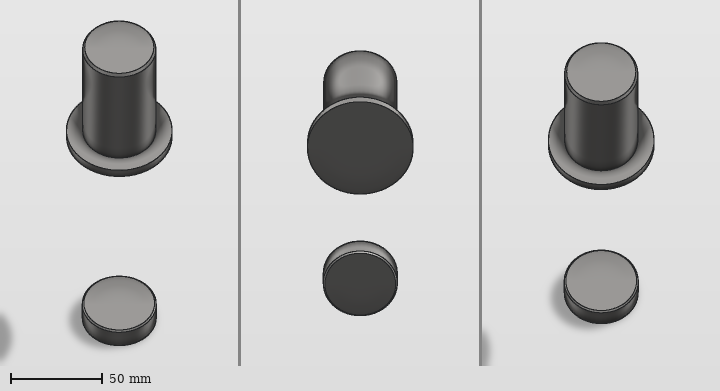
import cadquery as cq

total_height = 228.0

pin_diameter = 40.1
pin_height = 75.0
pin_chamfer_height = 1.8
pin_chamfer_inset = 1.1
flange_diameter = 58.0
flange_thickness = 5.2

plug_diameter = 40.5
plug_height = 13.0
plug_chamfer = 1.0


def make_headed_pin():
    """Round pin standing on a wider flange, with a steep chamfer at its top rim."""
    base_z = total_height - pin_height
    straight_height = pin_height - pin_chamfer_height
    base = cq.Workplane("XY", origin=(0, 0, base_z))
    flange = base.circle(flange_diameter / 2).extrude(flange_thickness)
    shank = base.circle(pin_diameter / 2).extrude(straight_height)
    tip = (
        base.workplane(offset=straight_height)
        .circle(pin_diameter / 2)
        .workplane(offset=pin_chamfer_height)
        .circle(pin_diameter / 2 - pin_chamfer_inset)
        .loft()
    )
    return flange.union(shank).union(tip)


def make_plug():
    """Disc on the pin axis with equal chamfers at both ends."""
    disc = cq.Workplane("XY").circle(plug_diameter / 2).extrude(plug_height)
    return disc.faces("<Z or >Z").chamfer(plug_chamfer)


headed_pin = make_headed_pin()
plug = make_plug()

result = cq.Compound.makeCompound([headed_pin.solids().val(), plug.solids().val()])